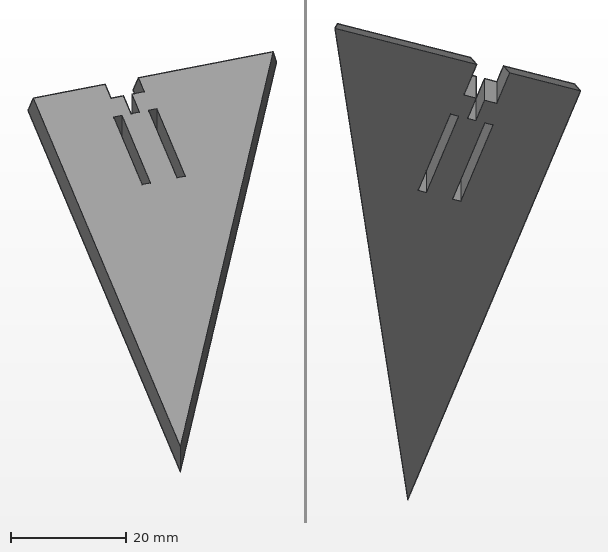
import cadquery as cq
import math

length = 96.5
width = 45.0
thickness = 6.0
bevel_angle = 30.0
bevel_run = thickness * math.tan(math.radians(bevel_angle))

axis_y = 16.0
notch_width = 6.0
notch_depth = 7.2
slit_width = 1.5
slit_end = 12.0
slot_width = 1.5
slot_length = 18.0
slot_start = slit_end
slot_offset = 3.15


def triangular_plate():
    """Right-triangle plate of constant thickness."""
    corners = [(0, 0), (length, 0), (0, width)]
    return cq.Workplane("XY").polyline(corners).close().extrude(thickness)


def bevel_wedge():
    """Wedge removed from the short edge; the plate keeps its full length at the bottom."""
    profile = [(0, 0), (bevel_run, thickness), (0, thickness)]
    return cq.Workplane("XZ").polyline(profile).close().extrude(-width)


def through_cut(start_x, end_x, center_y, cut_width):
    """Rectangular cutter along X, as tall as the plate."""
    cut_length = end_x - start_x
    corner = (start_x, center_y - cut_width / 2, 0)
    return cq.Workplane("XY").box(cut_length, cut_width, thickness, centered=False).translate(corner)


result = triangular_plate().cut(bevel_wedge())

result = result.cut(through_cut(0, notch_depth, axis_y, notch_width))
result = result.cut(through_cut(notch_depth, slit_end, axis_y, slit_width))

for side in (-1, 1):
    slot_y = axis_y + side * slot_offset
    result = result.cut(through_cut(slot_start, slot_start + slot_length, slot_y, slot_width))